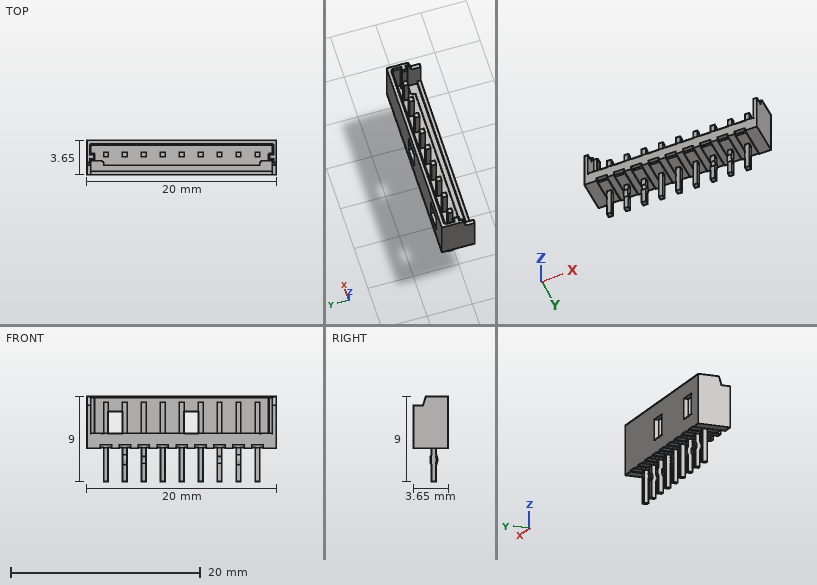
import cadquery as cq
import math

pin_count = 9
pin_pitch = 2.0
pin_width = 0.5
pin_top = 4.9
pin_bottom = -3.5

end_margin = 2.0
length = (pin_count - 1) * pin_pitch + 2 * end_margin
depth = 3.65
height = 5.5
back_y = 1.5
front_y = back_y - depth

back_wall = 0.51
end_wall = 0.425
front_wall = 0.4
floor_z = 1.6
corner_chamfer = 0.1
rim_width = 0.15
rim_drop = 0.15

shoulder_z = 4.55
shoulder_top_y = back_y - 2.35
shoulder_bottom_y = back_y - 2.65

ledge_z = 1.1
ledge_back_y = back_y - 2.65
ledge_end_back_y = back_y - 2.17
ledge_end_length = 1.35
ledge_chamfer = 0.19

rib_reach = 0.425
rib_back_y = back_y - 1.39
rib_front_y = back_y - 2.13
rib_chamfer = 0.1

window_top = 3.88
window_first_pins = (0, 4)

notch_width = 1.2
notch_height = 0.4
notch_depth = 0.4
channel_height = 0.1

kinks = {1: -1, 2: 1, 6: 1, 7: -1}
kink_z = -1.2
kink_outer_radius = 1.03
kink_offset = 0.15

inner_end_x = length / 2 - end_wall
inner_back_y = back_y - back_wall


def box(x0, x1, y0, y1, z0, z1):
    return cq.Workplane("XY").box(x1 - x0, y1 - y0, z1 - z0, centered=False).translate((x0, y0, z0))


def prism(points, z0, z1):
    return cq.Workplane("XY").workplane(offset=z0).polyline(points).close().extrude(z1 - z0)


def pin_x(index):
    return (index - (pin_count - 1) / 2) * pin_pitch


def both_ends(solid):
    return solid.union(solid.mirror("YZ"))


def cavity_outline(grow=0):
    """Plan outline of the cavity, open at the front, with ribs at both ends.

    Positive grow moves every wall and rib face outwards into the plastic.
    """
    x_wall = inner_end_x + grow
    x_rib = inner_end_x - rib_reach + grow
    y_back = inner_back_y + grow
    y_rib_back = rib_back_y - grow
    y_rib_front = rib_front_y + grow
    edge_shift = grow * (2 - math.sqrt(2))
    rear_cut = corner_chamfer + edge_shift
    rib_cut = rib_chamfer - edge_shift
    right = [
        (x_wall - rear_cut, y_back),
        (x_wall, y_back - rear_cut),
        (x_wall, y_rib_back),
        (x_rib + rib_cut, y_rib_back),
        (x_rib, y_rib_back - rib_cut),
        (x_rib, y_rib_front + rib_cut),
        (x_rib + rib_cut, y_rib_front),
        (x_wall, y_rib_front),
        (x_wall, front_y),
    ]
    left = [(-x, y) for x, y in reversed(right)]
    return right + left


def make_cavity():
    straight = prism(cavity_outline(), floor_z, height)
    bevel = (
        cq.Workplane("XY").workplane(offset=height - rim_drop)
        .polyline(cavity_outline()).close()
        .workplane(offset=rim_drop)
        .polyline(cavity_outline(rim_width)).close()
        .loft(ruled=True)
    )
    return straight.union(bevel)


def make_shoulder():
    profile = [
        (shoulder_top_y, height),
        (shoulder_bottom_y, shoulder_z),
        (front_y, shoulder_z),
        (front_y, height),
    ]
    return cq.Workplane("YZ").polyline(profile).close().extrude(length / 2, both=True)


def make_ledge():
    ledge_front_y = front_y + front_wall
    ledge = box(-inner_end_x, inner_end_x, ledge_front_y, ledge_back_y, ledge_z, floor_z)
    inner_x = inner_end_x - ledge_end_length
    end_pocket = prism([
        (inner_x, ledge_front_y),
        (inner_x, ledge_end_back_y - ledge_chamfer),
        (inner_x + ledge_chamfer, ledge_end_back_y),
        (inner_end_x, ledge_end_back_y),
        (inner_end_x, ledge_front_y),
    ], ledge_z, floor_z)
    return ledge.union(both_ends(end_pocket))


def make_housing():
    housing = box(-length / 2, length / 2, front_y, back_y, 0, height)
    housing = housing.cut(make_cavity()).cut(make_shoulder()).cut(make_ledge())
    for index in window_first_pins:
        window = box(pin_x(index), pin_x(index + 1), inner_back_y, back_y, floor_z, window_top)
        housing = housing.cut(window)
    for index in range(pin_count):
        left = pin_x(index) - notch_width / 2
        right = left + notch_width
        housing = housing.cut(box(left, right, front_y, back_y, 0, channel_height))
        housing = housing.cut(box(left, right, front_y, front_y + notch_depth, 0, notch_height))
    return housing


def make_straight_pin():
    half = pin_width / 2
    return box(-half, half, -half, half, pin_bottom, pin_top)


def make_kinked_pin(direction):
    """Square pin whose tail bows along Y in two concentric arcs."""
    half = pin_width / 2
    inner_radius = kink_outer_radius - pin_width
    centre_y = half + kink_offset - kink_outer_radius
    outer_half = math.sqrt(kink_outer_radius ** 2 - (half - centre_y) ** 2)
    inner_half = math.sqrt(inner_radius ** 2 - (-half - centre_y) ** 2)
    pin = (
        cq.Workplane("YZ").moveTo(half, pin_top)
        .lineTo(half, kink_z + outer_half)
        .threePointArc((half + kink_offset, kink_z), (half, kink_z - outer_half))
        .lineTo(half, pin_bottom)
        .lineTo(-half, pin_bottom)
        .lineTo(-half, kink_z - inner_half)
        .threePointArc((-half + kink_offset, kink_z), (-half, kink_z + inner_half))
        .lineTo(-half, pin_top)
        .close().extrude(half, both=True)
    )
    return pin if direction > 0 else pin.mirror("XZ")


result = make_housing()
for index in range(pin_count):
    pin = make_kinked_pin(kinks[index]) if index in kinks else make_straight_pin()
    result = result.union(pin.translate((pin_x(index), 0, 0)))